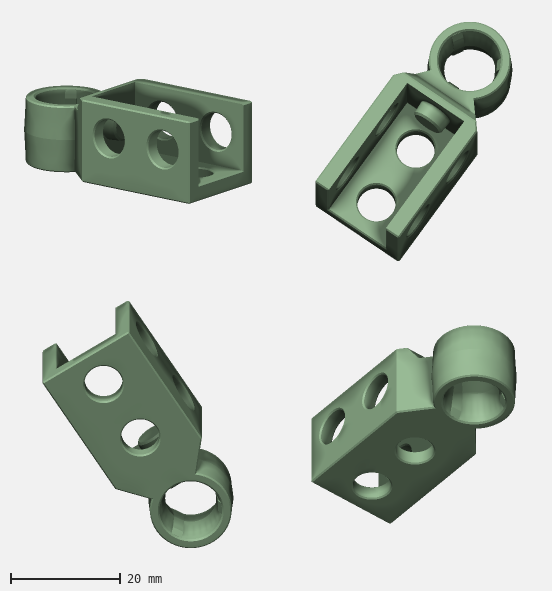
import cadquery as cq
import math

LENGTH = 43.75
BODY_WIDTH = 18.75
BODY_HEIGHT = 15.6
WALL = 3.0
EDGE_CHAMFER = 0.25

RING_HEIGHT = 12.5
RING_RADIUS = 7.8
RING_END_RADIUS = 7.5
RING_CHAMFER = 0.25
BORE_WAIST_RADIUS = 4.7
BORE_MOUTH_RADIUS = 5.75
BORE_CHAMFER = 0.3

PAD_COUNT = 3
PAD_WIDTH = 2.1
PAD_WAIST_RADIUS = 4.6
PAD_SHOULDER_RADIUS = 5.0
PAD_SHOULDER_DEPTH = 1.85
PAD_ROOT_RADIUS = 5.7
PAD_ROOT_DEPTH = 0.3

SHOULDER_X = 18.75
SLOPE_FOOT_X = 15.6
SLOPE_ANGLE = 60.0
SLOT_START_X = 18.65

HOLE_DIAMETER = 7.0
HOLE_X = 25.0
HOLE_SPACING = 12.5
HOLE_Z = 9.35

STUD_BASE_RADIUS = 3.25
STUD_TIP_RADIUS = 3.05
STUD_LENGTH = 2.8
STUD_CHAMFER = 0.4

RING_X = RING_RADIUS
RING_MID = RING_HEIGHT / 2
HALF_WIDTH = BODY_WIDTH / 2
SLOT_WIDTH = BODY_WIDTH - 2 * WALL
SLOPE_RUN = (BODY_HEIGHT - RING_HEIGHT) / math.tan(math.radians(SLOPE_ANGLE))
SLOPE_TOP_X = SLOPE_FOOT_X + SLOPE_RUN


def turned(half_profile):
    """Revolve an (r, z) half profile about the ring axis."""
    flat = cq.Workplane("XZ").polyline(half_profile).close()
    return flat.revolve(360, (0, 0, 0), (0, 1, 0)).translate((RING_X, 0, 0))


def make_body():
    """Fork block whose flared neck runs radially out of the ring axis."""
    plan = (
        cq.Workplane("XY")
        .moveTo(RING_X, 0)
        .lineTo(SHOULDER_X, -HALF_WIDTH)
        .lineTo(LENGTH, -HALF_WIDTH)
        .lineTo(LENGTH, HALF_WIDTH)
        .lineTo(SHOULDER_X, HALF_WIDTH)
        .close()
        .extrude(BODY_HEIGHT)
    )
    side = (
        cq.Workplane("XZ")
        .moveTo(0, 0)
        .lineTo(LENGTH, 0)
        .lineTo(LENGTH, BODY_HEIGHT)
        .lineTo(SLOPE_TOP_X, BODY_HEIGHT)
        .lineTo(SLOPE_FOOT_X, RING_HEIGHT)
        .lineTo(0, RING_HEIGHT)
        .close()
        .extrude(HALF_WIDTH, both=True)
    )
    block = plan.intersect(side)
    return block.faces(">Z or <Z or >X").edges().chamfer(EDGE_CHAMFER)


def make_ring():
    """Solid barrel of two cones meeting at mid height, with chamfered ends."""
    face_radius = RING_END_RADIUS - RING_CHAMFER
    return turned([
        (0, 0),
        (face_radius, 0),
        (RING_END_RADIUS, RING_CHAMFER),
        (RING_RADIUS, RING_MID),
        (RING_END_RADIUS, RING_HEIGHT - RING_CHAMFER),
        (face_radius, RING_HEIGHT),
        (0, RING_HEIGHT),
    ])


def make_bore():
    """Hourglass bore of two cones meeting at mid height."""
    rim_radius = BORE_MOUTH_RADIUS + BORE_CHAMFER
    return turned([
        (0, 0),
        (rim_radius, 0),
        (BORE_MOUTH_RADIUS, BORE_CHAMFER),
        (BORE_WAIST_RADIUS, RING_MID),
        (BORE_MOUTH_RADIUS, RING_HEIGHT - BORE_CHAMFER),
        (rim_radius, RING_HEIGHT),
        (0, RING_HEIGHT),
    ])


def make_pad(angle):
    """Narrow grip pad on the bore wall, nearly flush with it at the waist."""
    back_radius = (BORE_MOUTH_RADIUS + RING_END_RADIUS) / 2
    pad = (
        cq.Workplane("XZ")
        .moveTo(back_radius, PAD_ROOT_DEPTH)
        .lineTo(PAD_ROOT_RADIUS, PAD_ROOT_DEPTH)
        .lineTo(PAD_SHOULDER_RADIUS, PAD_SHOULDER_DEPTH)
        .lineTo(PAD_WAIST_RADIUS, RING_MID)
        .lineTo(PAD_SHOULDER_RADIUS, RING_HEIGHT - PAD_SHOULDER_DEPTH)
        .lineTo(PAD_ROOT_RADIUS, RING_HEIGHT - PAD_ROOT_DEPTH)
        .lineTo(back_radius, RING_HEIGHT - PAD_ROOT_DEPTH)
        .close()
        .extrude(PAD_WIDTH / 2, both=True)
    )
    return pad.rotate((0, 0, 0), (0, 0, 1), angle).translate((RING_X, 0, 0))


def make_slot():
    """Channel between the fork arms, open at the top and flared by a chamfer at the far end."""
    slot_length = LENGTH - SLOT_START_X
    channel = cq.Workplane("XY").box(slot_length, SLOT_WIDTH, BODY_HEIGHT, centered=(False, True, False))
    flare = (
        cq.Workplane("YZ")
        .workplane(offset=slot_length - EDGE_CHAMFER)
        .center(0, BODY_HEIGHT / 2)
        .rect(SLOT_WIDTH, BODY_HEIGHT)
        .workplane(offset=EDGE_CHAMFER)
        .center(0, -EDGE_CHAMFER)
        .rect(SLOT_WIDTH + 2 * EDGE_CHAMFER, BODY_HEIGHT)
        .loft(ruled=True)
    )
    return channel.union(flare).translate((SLOT_START_X, 0, WALL))


def wall_hole(start, direction):
    """Round hole through one wall, chamfered at both of its faces."""
    radius = HOLE_DIAMETER / 2
    rim = radius + EDGE_CHAMFER
    profile = (
        cq.Workplane("XZ")
        .polyline([
            (0, 0),
            (rim, 0),
            (radius, EDGE_CHAMFER),
            (radius, WALL - EDGE_CHAMFER),
            (rim, WALL),
            (0, WALL),
        ])
        .close()
        .revolve(360, (0, 0, 0), (0, 1, 0))
    )
    plane = cq.Plane(origin=start, xDir=(1, 0, 0), normal=direction)
    return profile.val().moved(cq.Location(plane))


def make_stud():
    """Tapered locating stud on the end wall of the slot, level with the arm holes."""
    root_x = SLOT_START_X - WALL / 2
    tip_x = SLOT_START_X + STUD_LENGTH
    return (
        cq.Workplane("XY")
        .moveTo(root_x, 0)
        .lineTo(root_x, STUD_BASE_RADIUS)
        .lineTo(SLOT_START_X, STUD_BASE_RADIUS)
        .lineTo(tip_x - STUD_CHAMFER, STUD_TIP_RADIUS)
        .lineTo(tip_x, STUD_TIP_RADIUS - STUD_CHAMFER)
        .lineTo(tip_x, 0)
        .close()
        .revolve(360, (0, 0, 0), (1, 0, 0))
        .translate((0, 0, HOLE_Z))
    )


result = make_body().union(make_ring()).cut(make_bore())

for index in range(PAD_COUNT):
    result = result.union(make_pad(index * 360 / PAD_COUNT))

result = result.cut(make_slot()).union(make_stud())

for hole_x in (HOLE_X, HOLE_X + HOLE_SPACING):
    result = result.cut(wall_hole((hole_x, 0, 0), (0, 0, 1)))
    result = result.cut(wall_hole((hole_x, -HALF_WIDTH, HOLE_Z), (0, 1, 0)))
    result = result.cut(wall_hole((hole_x, HALF_WIDTH, HOLE_Z), (0, -1, 0)))